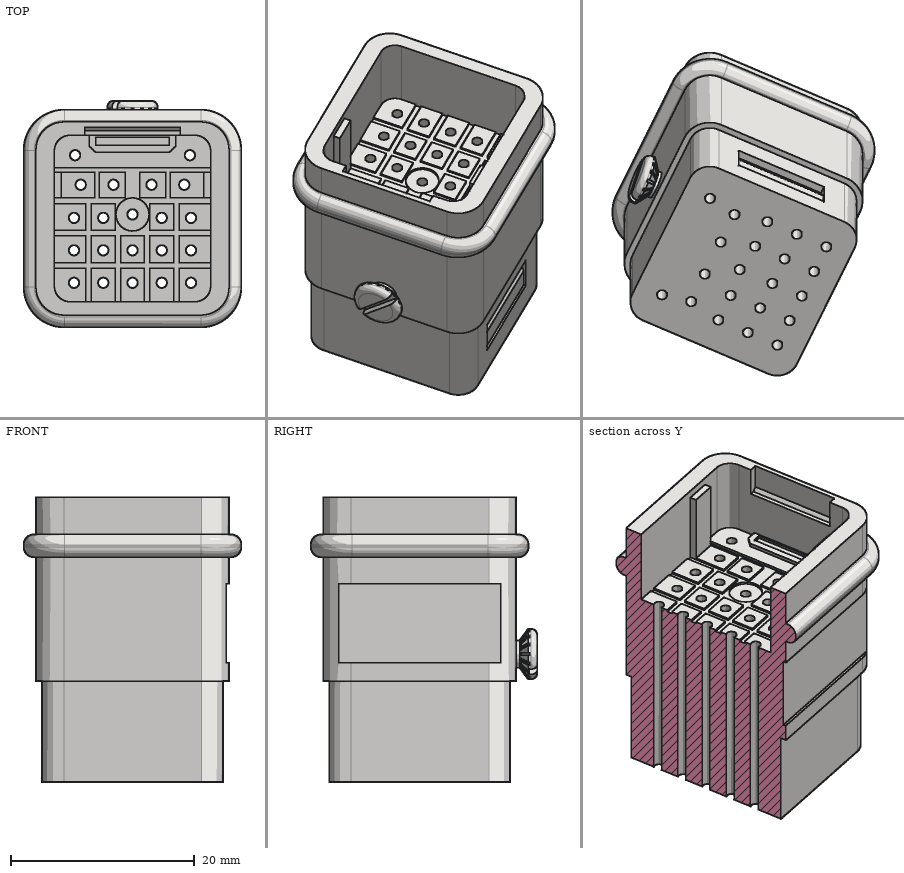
import cadquery as cq

total_height = 31.0
overall_depth = 24.65
upper_width = 21.0
upper_corner_radius = 3.0
lower_width = 19.7
lower_corner_radius = lower_width / 2 - (upper_width / 2 - upper_corner_radius)
shoulder_z = 11.0

ring_width = 23.7
ring_corner_radius = 4.45
ring_bottom_z = 24.45
ring_height = 2.5
ring_edge_flat = 0.2
ring_fillet = (ring_height - ring_edge_flat) / 2

cavity_size_x = 17.0
cavity_size_y = 18.1
cavity_corner_radius = 1.7
contact_face_z = 22.15
first_row_face_z = 22.25

groove_depth = 0.2
pad_groove_width = 0.6
groove_floor_z = contact_face_z - groove_depth
first_row_edge_y = 5.53
second_row_back_y = 5.04
second_row_front_y = 2.23
second_row_inner_x = 0.78
second_row_split_x = 3.63
second_row_outer_x = 4.1
column_pitch = 3.18
row_pitch = 3.53
grid_back_y = second_row_front_y - pad_groove_width

hole_diameter = 1.1
first_row_hole_x = 6.24
first_row_hole_y = 6.88
second_row_hole_x = (2.07, 5.63)
second_row_hole_y = 3.67
grid_rows = 3
grid_columns = 5
grid_hole_x = [column_pitch * (i - (grid_columns - 1) / 2) for i in range(grid_columns)]
third_row_hole_y = 0.07
center_hole_y = 0.44
center_bore_diameter = 3.6
center_bore_depth = 0.45

rib_thickness = 0.75
rib_top_z = 30.1

rest_width = 9.45
rest_front_y = 7.2
rest_height = 0.4
rest_corner_chamfer = 0.7
rest_slot_width = 8.0
rest_slot_back_y = 8.86
rest_slot_front_y = 7.95
rest_slot_depth = 0.3

notch_width = 10.4
notch_back_y = 9.93
notch_ledge_y = 9.54
notch_back_z = 28.15
notch_ledge_z = 27.75

label_bottom_z = 13.0
label_top_z = 21.57
label_depth = 0.3

latch_length = 10.2
latch_bottom_z = 3.36
latch_ramp_bottom_z = 5.7
latch_ramp_top_z = 6.92
latch_top_z = 7.52
latch_shallow_depth = 0.25
latch_deep_depth = 0.8

screw_z = 13.93
screw_neck_diameter = 3.0
screw_head_diameter = 5.5
screw_tip_y = overall_depth - ring_width / 2
screw_neck_overlap = 1.0
screw_neck_end_y = 10.87
screw_cone_end_y = 11.8
screw_rim_y = 12.1
screw_rim_radius = screw_tip_y - screw_rim_y
screw_slot_width = 0.8
screw_slot_depth = 0.9
screw_slot_angle = 45.0
serration_count = 16
serration_width = 0.3
serration_depth = 0.2


def box_between(x_range, y_range, z_range):
    """Axis-aligned box given by its limits along each axis."""
    size = [high - low for low, high in (x_range, y_range, z_range)]
    corner = (x_range[0], y_range[0], z_range[0])
    return cq.Workplane("XY").box(*size, centered=False).translate(corner)


def rounded_block(size_x, size_y, radius, bottom_z, top_z):
    """Upright block with rounded vertical edges, centred on the Z axis."""
    block = cq.Workplane("XY", origin=(0, 0, bottom_z)).rect(size_x, size_y).extrude(top_z - bottom_z)
    return block.edges("|Z").fillet(radius)


def make_housing():
    lower = rounded_block(lower_width, lower_width, lower_corner_radius, 0, shoulder_z)
    upper = rounded_block(upper_width, upper_width, upper_corner_radius, shoulder_z, total_height)
    ring = rounded_block(
        ring_width, ring_width, ring_corner_radius, ring_bottom_z, ring_bottom_z + ring_height
    )
    ring = ring.faces("<Z or >Z").edges().fillet(ring_fillet)
    cavity = rounded_block(
        cavity_size_x, cavity_size_y, cavity_corner_radius, groove_floor_z, total_height
    )
    return lower.union(upper).union(ring).cut(cavity)


def make_pads():
    """Raised pads on the groove floor, clipped to the cavity outline."""
    z_range = (groove_floor_z, contact_face_z)
    half_x = cavity_size_x / 2
    half_y = cavity_size_y / 2

    pads = box_between((-half_x, half_x), (first_row_edge_y, half_y), (groove_floor_z, first_row_face_z))

    second_row_y = (second_row_front_y, second_row_back_y)
    for low, high in ((second_row_inner_x, second_row_split_x), (second_row_outer_x, half_x)):
        pads = pads.union(box_between((low, high), second_row_y, z_range))
        pads = pads.union(box_between((-high, -low), second_row_y, z_range))

    pad_width = column_pitch - pad_groove_width
    for row in range(grid_rows):
        back_y = grid_back_y - row * row_pitch
        front_y = -half_y if row == grid_rows - 1 else back_y - row_pitch + pad_groove_width
        for column, x in enumerate(grid_hole_x):
            if row == 0 and x == 0:
                continue
            left_x = -half_x if column == 0 else x - pad_width / 2
            right_x = half_x if column == grid_columns - 1 else x + pad_width / 2
            pads = pads.union(box_between((left_x, right_x), (front_y, back_y), z_range))

    outline = rounded_block(
        cavity_size_x, cavity_size_y, cavity_corner_radius, groove_floor_z, first_row_face_z
    )
    return pads.intersect(outline)


def make_ribs():
    half_x = cavity_size_x / 2
    y_range = (second_row_front_y, second_row_back_y)
    z_range = (groove_floor_z, rib_top_z)
    left = box_between((-half_x, rib_thickness - half_x), y_range, z_range)
    right = box_between((half_x - rib_thickness, half_x), y_range, z_range)
    return left.union(right)


def make_rest():
    top_z = first_row_face_z + rest_height
    rest = box_between(
        (-rest_width / 2, rest_width / 2), (rest_front_y, cavity_size_y / 2), (first_row_face_z, top_z)
    )
    rest = rest.edges("|Z and <Y").chamfer(rest_corner_chamfer)
    slot = box_between(
        (-rest_slot_width / 2, rest_slot_width / 2),
        (rest_slot_front_y, rest_slot_back_y),
        (top_z - rest_slot_depth, top_z),
    )
    return rest.cut(slot)


def make_notch():
    profile = [
        (0, total_height),
        (notch_back_y, total_height),
        (notch_back_y, notch_back_z),
        (notch_ledge_y, notch_ledge_z),
        (0, notch_ledge_z),
    ]
    return cq.Workplane("YZ").polyline(profile).close().extrude(notch_width / 2, both=True)


def make_holes():
    points = [(0, center_hole_y)]
    for side in (-1, 1):
        points.append((side * first_row_hole_x, first_row_hole_y))
        points += [(side * x, second_row_hole_y) for x in second_row_hole_x]
    for row in range(grid_rows):
        y = third_row_hole_y - row * row_pitch
        points += [(x, y) for x in grid_hole_x if row > 0 or x != 0]
    return cq.Workplane("XY").pushPoints(points).circle(hole_diameter / 2).extrude(total_height)


def make_center_bore():
    """Shallow round recess around the central contact hole."""
    bore = cq.Workplane("XY", origin=(0, center_hole_y, contact_face_z))
    return bore.circle(center_bore_diameter / 2).extrude(-center_bore_depth)


def make_label_recess():
    outer_x = upper_width / 2
    return box_between(
        (outer_x - label_depth, outer_x),
        (-outer_x, outer_x),
        (label_bottom_z, label_top_z),
    )


def make_latch_pocket():
    """Pocket whose inner face ramps from a shallow lower part to a deeper upper part."""
    outer_x = -lower_width / 2
    shallow_x = outer_x + latch_shallow_depth
    deep_x = outer_x + latch_deep_depth
    profile = [
        (outer_x, latch_bottom_z),
        (shallow_x, latch_bottom_z),
        (shallow_x, latch_ramp_bottom_z),
        (deep_x, latch_ramp_top_z),
        (deep_x, latch_top_z),
        (outer_x, latch_top_z),
    ]
    return cq.Workplane("XZ").polyline(profile).close().extrude(latch_length / 2, both=True)


def make_screw():
    """Slotted screw with a serrated conical underside, its axis along Y."""
    neck_radius = screw_neck_diameter / 2
    head_radius = screw_head_diameter / 2
    start_y = upper_width / 2 - screw_neck_overlap
    tip_radius = head_radius - screw_rim_radius
    screw = (
        cq.Workplane("XY")
        .moveTo(0, start_y)
        .lineTo(neck_radius, start_y)
        .lineTo(neck_radius, screw_neck_end_y)
        .lineTo(head_radius, screw_cone_end_y)
        .lineTo(head_radius, screw_rim_y)
        .radiusArc((tip_radius, screw_tip_y), -screw_rim_radius)
        .lineTo(0, screw_tip_y)
        .close()
        .revolve(360, (0, 0, 0), (0, 1, 0))
    )
    slot = box_between(
        (-head_radius, head_radius),
        (screw_tip_y - screw_slot_depth, screw_tip_y),
        (-screw_slot_width / 2, screw_slot_width / 2),
    )
    slot = slot.rotate((0, 0, 0), (0, 1, 0), screw_slot_angle)
    screw = screw.cut(slot)

    serration_profile = [
        (neck_radius, screw_neck_end_y),
        (head_radius, screw_cone_end_y),
        (head_radius, screw_cone_end_y + serration_depth),
        (neck_radius, screw_neck_end_y + serration_depth),
    ]
    serration = cq.Workplane("XY").polyline(serration_profile).close()
    serration = serration.extrude(serration_width / 2, both=True)
    for i in range(serration_count):
        screw = screw.cut(serration.rotate((0, 0, 0), (0, 1, 0), i * 360 / serration_count))
    return screw.translate((0, 0, screw_z))


housing = make_housing().union(make_pads()).union(make_ribs()).union(make_rest())
housing = housing.cut(make_center_bore()).cut(make_notch())
housing = housing.cut(make_label_recess()).cut(make_latch_pocket())
result = housing.union(make_screw()).cut(make_holes())